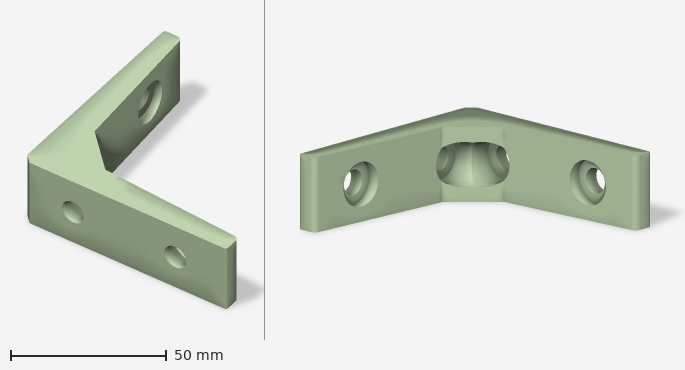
import cadquery as cq

leg_length = 80.0
width = 25.0

gusset_reach = 25.0
gusset_leg_thickness = 11.0
tip_thickness = 7.0

tip_inner_radius = 2.0
tip_outer_radius = 1.0

corner_chamfer = 3.0

hole_diameter = 8.5
hole_positions = (20.0, 60.0)

counterbore_diameter = 15.0
seat_thickness = 5.0


def make_body():
    """Extrude the L-shaped profile, which is symmetric about the line x = y."""
    return (
        cq.Workplane("XY")
        .moveTo(corner_chamfer, 0)
        .lineTo(leg_length, 0)
        .lineTo(leg_length, tip_thickness)
        .lineTo(gusset_reach, gusset_leg_thickness)
        .lineTo(gusset_leg_thickness, gusset_reach)
        .lineTo(tip_thickness, leg_length)
        .lineTo(0, leg_length)
        .lineTo(0, corner_chamfer)
        .close()
        .extrude(width)
    )


def round_tips(body):
    """Round the two edges across the tip of each leg."""
    for tip_face, outer_side, inner_side in ((">X", "<Y", ">Y"), (">Y", "<X", ">X")):
        body = body.faces(tip_face).edges("|Z").edges(inner_side).fillet(tip_inner_radius)
        body = body.faces(tip_face).edges("|Z").edges(outer_side).fillet(tip_outer_radius)
    return body


def make_bolt_cutter(outer_point, inward):
    """Make a bolt hole and its counterbore, running inward from a point on an outer face."""
    hole = cq.Solid.makeCylinder(hole_diameter / 2, leg_length, outer_point, inward)
    seat_point = outer_point + inward * seat_thickness
    counterbore = cq.Solid.makeCylinder(counterbore_diameter / 2, leg_length, seat_point, inward)
    return hole.fuse(counterbore)


def drill_legs(body):
    """Cut the counterbored bolt holes through both legs, square to their outer faces."""
    for position in hole_positions:
        body = body.cut(make_bolt_cutter(cq.Vector(position, 0, width / 2), cq.Vector(0, 1, 0)))
        body = body.cut(make_bolt_cutter(cq.Vector(0, position, width / 2), cq.Vector(1, 0, 0)))
    return body


result = drill_legs(round_tips(make_body()))